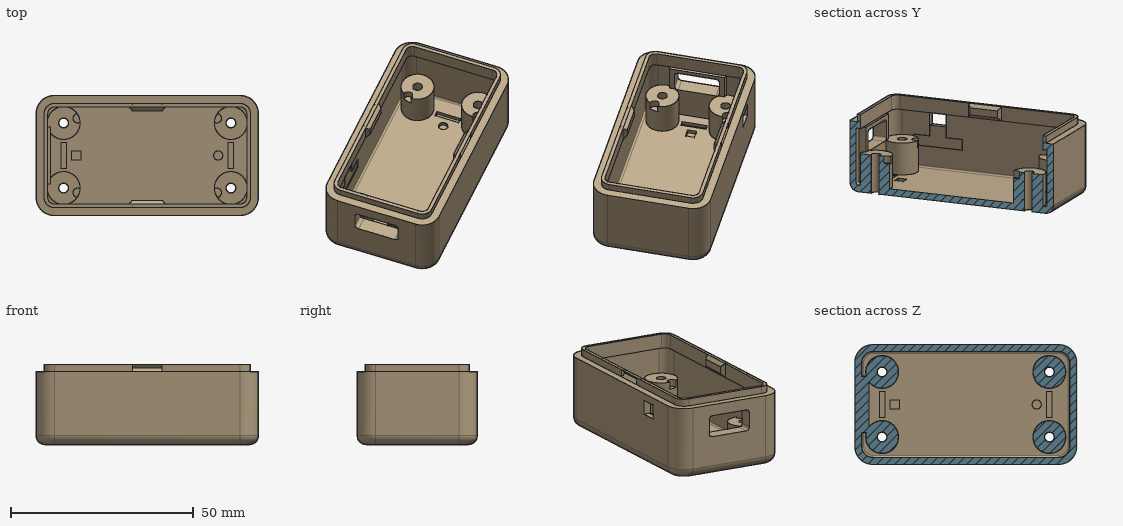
import cadquery as cq

length = 60.8
width = 32.86
shoulder_height = 20.0
corner_radius = 5.0
bottom_fillet = 2.5
wall = 2.0
floor = 2.0
floor_fillet = 0.5

total_height = 22.0
lip_bottom = 18.0
lip_outer_inset = 2.2
lip_inner_inset = 3.2

detent_depth = 1.0
detent_base_length = 9.9
detent_length = 8.1
detent_height = 2.0

post_spacing_x = 45.72
post_spacing_y = 17.78
post_diameter = 9.0
post_top = 11.0
screw_diameter = 2.6
pin_spacing_x = 38.1
pin_spacing_y = 20.32
pin_diameter = 2.5
pin_depth = 2.0

floor_recess_depth = 1.0
slot_width = 1.5
slot_length = 7.0
mark_size = 2.5
mark_x = 19.4

usb_width = 12.6
usb_height = 6.0
usb_bottom = 10.85
usb_corner_radius = 1.0
usb_pad_width = 15.5
usb_wall = 4.0

switch_x = -14.65
switch_lever_width = 5.0
switch_window_bottom = 14.05
switch_body_width = 14.5
switch_body_bottom = 8.05
switch_body_top = 11.05
switch_recess_depth = 0.25


def rounded_block(inset, bottom, top):
    """Block following the outline of the shell at a given inset."""
    return (
        cq.Workplane("XY")
        .workplane(offset=bottom)
        .rect(length - 2 * inset, width - 2 * inset)
        .extrude(top - bottom)
        .edges("|Z")
        .fillet(corner_radius - inset)
    )


def box(x_range, y_range, z_range):
    """Axis-aligned box between the given limits."""
    sizes = [high - low for low, high in (x_range, y_range, z_range)]
    corner = (x_range[0], y_range[0], z_range[0])
    return cq.Workplane("XY").box(*sizes, centered=False).translate(corner)


def centred(middle, size):
    """Limits of a span of a given size about its middle."""
    return (middle - size / 2, middle + size / 2)


def cylinders(spacing_x, spacing_y, diameter, bottom, top):
    """Four vertical cylinders on a rectangular pattern."""
    return (
        cq.Workplane("XY")
        .workplane(offset=bottom)
        .rect(spacing_x, spacing_y, forConstruction=True)
        .vertices()
        .circle(diameter / 2)
        .extrude(top - bottom)
    )


def make_shell():
    """Tray with an inward-stepped lip rising above its walls."""
    body = rounded_block(0, 0, shoulder_height).faces("<Z").edges().fillet(bottom_fillet)
    cavity = rounded_block(wall, floor, lip_bottom).faces("<Z").edges().fillet(floor_fillet)
    lip = rounded_block(lip_outer_inset, lip_bottom, total_height)
    opening = rounded_block(lip_inner_inset, lip_bottom, total_height)
    return body.union(lip).cut(cavity).cut(opening)


def add_posts(part):
    """Corner posts with through screw holes and shallow pin pockets."""
    posts = cylinders(post_spacing_x, post_spacing_y, post_diameter, floor, post_top)
    screws = cylinders(post_spacing_x, post_spacing_y, screw_diameter, 0, post_top)
    pins = cylinders(pin_spacing_x, pin_spacing_y, pin_diameter, post_top - pin_depth, post_top)
    return part.union(posts).cut(screws).cut(pins)


def add_detents(part):
    """V grooves outside the lip, each backed by a tapered bump inside."""
    inner_y = width / 2 - lip_inner_inset
    outer_y = width / 2 - lip_outer_inset
    middle_z = (lip_bottom + total_height) / 2
    bump = (
        cq.Workplane("XZ", origin=(0, inner_y, middle_z))
        .rect(detent_base_length, total_height - lip_bottom)
        .workplane(offset=detent_depth)
        .rect(detent_length, detent_height)
        .loft()
    )
    groove = (
        cq.Workplane("YZ", origin=(-detent_length / 2, 0, 0))
        .moveTo(outer_y, shoulder_height)
        .lineTo(outer_y - detent_depth, (shoulder_height + total_height) / 2)
        .lineTo(outer_y, total_height)
        .close()
        .extrude(detent_length)
    )
    part = part.union(bump).union(bump.mirror("XZ"))
    return part.cut(groove).cut(groove.mirror("XZ"))


def cut_floor_recesses(part):
    """Slot at each end of the floor, a square mark at -X and a round one at +X."""
    depth_range = (floor - floor_recess_depth, floor)
    for slot_x in (-post_spacing_x / 2, post_spacing_x / 2):
        part = part.cut(box(centred(slot_x, slot_width), centred(0, slot_length), depth_range))
    square = box(centred(-mark_x, mark_size), centred(0, mark_size), depth_range)
    disc = (
        cq.Workplane("XY", origin=(mark_x, 0, depth_range[0]))
        .circle(mark_size / 2)
        .extrude(floor_recess_depth)
    )
    return part.cut(square).cut(disc)


def add_usb_port(part):
    """Thickened -X wall with a rounded window through it."""
    outer_x = -length / 2
    pad = box((outer_x + wall / 2, outer_x + usb_wall), centred(0, usb_pad_width), (floor, lip_bottom))
    window = (
        box((outer_x, outer_x + usb_wall), centred(0, usb_width), (usb_bottom, usb_bottom + usb_height))
        .edges("|X")
        .fillet(usb_corner_radius)
    )
    return part.union(pad).cut(window)


def cut_switch_opening(part):
    """Inverted-T recess inside the +Y wall with a lever window through it."""
    inner_y = width / 2 - wall
    recess_y = (inner_y, inner_y + switch_recess_depth)
    lever_x = centred(switch_x, switch_lever_width)
    body = box(centred(switch_x, switch_body_width), recess_y, (switch_body_bottom, switch_body_top))
    stem = box(lever_x, recess_y, (switch_body_top, lip_bottom))
    window = box(lever_x, (inner_y, width / 2), (switch_window_bottom, lip_bottom))
    return part.cut(body).cut(stem).cut(window)


result = make_shell()
result = add_posts(result)
result = add_detents(result)
result = cut_floor_recesses(result)
result = add_usb_port(result)
result = cut_switch_opening(result)